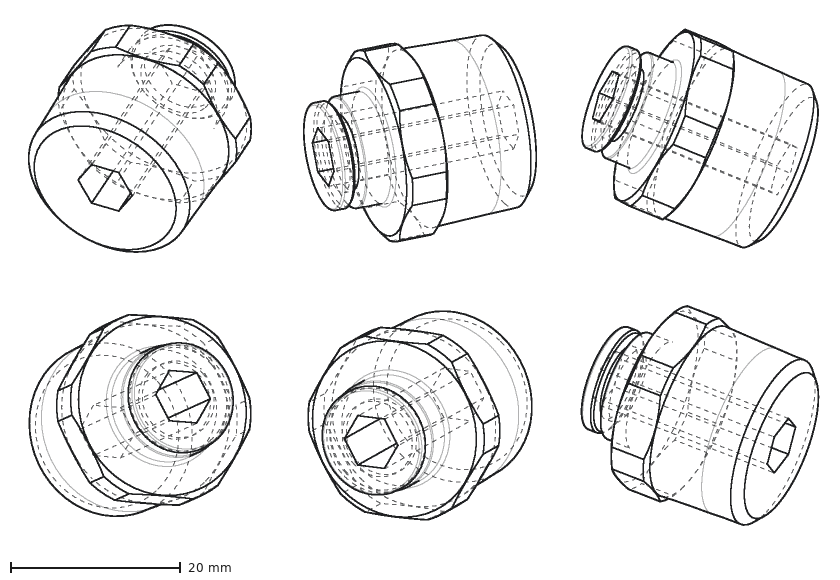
import cadquery as cq
import math

total_length = 23.4

tip_radius = 9.15
tip_chamfer_end_radius = 10.4
tip_chamfer_length = 1.17
thread_start = 5.03
thread_start_radius = 10.48
shank_length = 11.82
shank_end_radius = 10.72

nut_across_flats = 21.5
nut_corner_radius = 11.5
nut_end = 17.04
nut_chamfer_length = 0.47
nut_face_clearance = 0.05
nut_face_radius = nut_across_flats / 2 - nut_face_clearance

collar_radius = 6.75
collar_end = 20.66
collar_edge_round = 0.15
collar_base_flare = 0.47
neck_radius = 4.59
ring_radius = 6.48
ring_start = 21.8
ring_edge_chamfer = 0.28
ring_edge_round = 0.23

socket_across_flats = 6.04


def revolve_about_y(profile):
    return profile.close().revolve(360, (0, 0, 0), (0, 1, 0))


def hex_prism(across_flats, start, end):
    """Hexagonal prism along Y with flats facing +Z and -Z."""
    across_corners = across_flats / math.cos(math.pi / 6)
    plane = cq.Workplane("XZ", origin=(0, start, 0))
    return plane.polygon(6, across_corners).extrude(start - end)


def make_shank():
    profile = (
        cq.Workplane("XY")
        .lineTo(tip_radius, 0)
        .lineTo(tip_chamfer_end_radius, tip_chamfer_length)
        .lineTo(thread_start_radius, thread_start)
        .lineTo(shank_end_radius, shank_length)
        .lineTo(0, shank_length)
    )
    return revolve_about_y(profile)


def make_nut():
    turned_profile = (
        cq.Workplane("XY")
        .moveTo(0, shank_length)
        .lineTo(nut_face_radius, shank_length)
        .lineTo(nut_corner_radius, shank_length + nut_chamfer_length)
        .lineTo(nut_corner_radius, nut_end - nut_chamfer_length)
        .lineTo(nut_face_radius, nut_end)
        .lineTo(0, nut_end)
    )
    turned_body = revolve_about_y(turned_profile)
    return hex_prism(nut_across_flats, shank_length, nut_end).intersect(turned_body)


def make_collar_and_ring():
    profile = (
        cq.Workplane("XY")
        .moveTo(0, nut_end)
        .lineTo(collar_radius + collar_base_flare, nut_end)
        .radiusArc((collar_radius, nut_end + collar_base_flare), collar_base_flare)
        .lineTo(collar_radius, collar_end - collar_edge_round)
        .radiusArc((collar_radius - collar_edge_round, collar_end), -collar_edge_round)
        .lineTo(neck_radius, collar_end)
        .lineTo(neck_radius, ring_start)
        .lineTo(ring_radius - ring_edge_chamfer, ring_start)
        .lineTo(ring_radius, ring_start + ring_edge_chamfer)
        .lineTo(ring_radius, total_length - ring_edge_round)
        .radiusArc((ring_radius - ring_edge_round, total_length), -ring_edge_round)
        .lineTo(0, total_length)
    )
    return revolve_about_y(profile)


body = make_shank().union(make_nut()).union(make_collar_and_ring())
result = body.cut(hex_prism(socket_across_flats, 0, total_length))